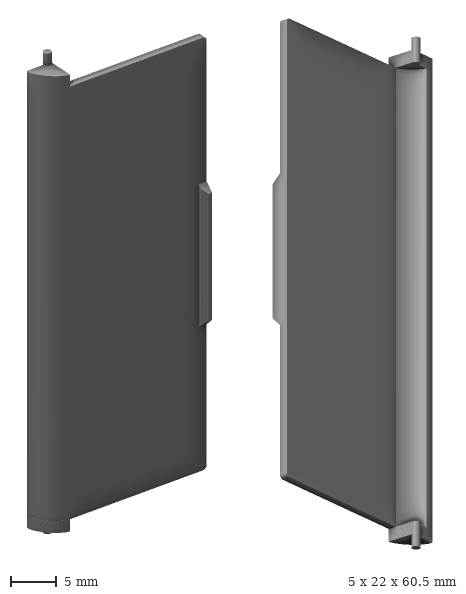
import cadquery as cq

total_height = 60.5
depth = 22.0

pin_diameter = 1.0
pin_length = 3.0
pin_overhang = 1.5
lug_height = pin_length - pin_overhang

plate_outer_x = 4.0
wall = 1.0
plate_inner_x = plate_outer_x - wall
plate_corner = 0.5

body_left_x = pin_diameter / 2
body_back_y = 3.3
pin_y = body_back_y - pin_diameter / 2
nose_flat = 0.5
nose_start_x = body_left_x + nose_flat
curve_end_y = 3.0
nose_radius = 5.0
hollow_end_y = 3.25
hollow_radius = nose_radius - wall

lean_height = 0.5
lean_shift = 0.025

catch_length = 18.0
catch_tip_x = 5.0
catch_width = 1.1
catch_bevel = 0.6

body_height = total_height - 2 * pin_overhang
shell_height = body_height - 2 * lug_height
shell_bottom_z = pin_overhang + lug_height
shell_top_z = shell_bottom_z + shell_height


def make_lug(bottom_z):
    """Solid quarter-round end lug that carries a pin."""
    return (
        cq.Workplane("XY", origin=(0, 0, bottom_z))
        .moveTo(body_left_x, body_back_y)
        .lineTo(body_left_x, 0)
        .lineTo(nose_start_x, 0)
        .radiusArc((plate_outer_x, curve_end_y), -nose_radius)
        .lineTo(plate_outer_x, body_back_y)
        .close()
        .extrude(lug_height)
    )


def draw_shell(plane, lean):
    """Section of the curved wall and plate, moved inward by lean."""
    outer_x = plate_outer_x - lean
    inner_x = plate_inner_x - lean
    return (
        plane.moveTo(body_left_x, lean)
        .lineTo(nose_start_x, lean)
        .radiusArc((outer_x, curve_end_y), -nose_radius)
        .lineTo(outer_x, depth)
        .lineTo(inner_x, depth)
        .lineTo(inner_x, hollow_end_y)
        .radiusArc((body_left_x, wall + lean), hollow_radius)
        .close()
    )


def make_shell():
    """Cover plate and hollow nose, leaning slightly inward along the lower edge."""
    lower_plane = cq.Workplane("XY", origin=(0, 0, shell_bottom_z))
    leaning_section = draw_shell(lower_plane, lean_shift)
    leaning_strip = draw_shell(leaning_section.workplane(offset=lean_height), 0).loft(ruled=True)

    upper_plane = cq.Workplane("XY", origin=(0, 0, shell_bottom_z + lean_height))
    straight_wall = draw_shell(upper_plane, 0).extrude(shell_height - lean_height)

    nose_strip = cq.Workplane("XY", origin=(body_left_x, 0, shell_bottom_z)).box(
        nose_flat, wall, shell_height, centered=False
    )
    corner_envelope = (
        cq.Workplane("XY", origin=(0, 0, shell_bottom_z))
        .box(plate_outer_x, depth, shell_height, centered=False)
        .edges("|X and >Y")
        .fillet(plate_corner)
    )
    shell = straight_wall.union(leaning_strip).union(nose_strip)
    return shell.intersect(corner_envelope)


def make_pin(bottom_z):
    """Hinge pin standing parallel to Z."""
    return (
        cq.Workplane("XY", origin=(body_left_x, pin_y, bottom_z))
        .circle(pin_diameter / 2)
        .extrude(pin_length)
    )


def make_catch():
    """Snap ridge on the outer face at the free edge, with 45 degree ramps at both ends."""
    front_y = depth - catch_width
    catch_bottom_z = (total_height - catch_length) / 2
    catch_top_z = catch_bottom_z + catch_length
    ramp = catch_tip_x - plate_outer_x

    ridge = (
        cq.Workplane("XY", origin=(0, 0, catch_bottom_z))
        .moveTo(plate_outer_x, depth)
        .lineTo(catch_tip_x, depth)
        .lineTo(catch_tip_x, front_y + catch_bevel)
        .lineTo(catch_tip_x - catch_bevel, front_y)
        .lineTo(plate_outer_x, front_y)
        .close()
        .extrude(catch_length)
    )
    ramp_envelope = (
        cq.Workplane("XZ", origin=(0, depth, 0))
        .moveTo(plate_outer_x, catch_bottom_z)
        .lineTo(catch_tip_x, catch_bottom_z + ramp)
        .lineTo(catch_tip_x, catch_top_z - ramp)
        .lineTo(plate_outer_x, catch_top_z)
        .close()
        .extrude(catch_width)
    )
    return ridge.intersect(ramp_envelope)


result = make_shell().union(make_catch())
for lug_bottom_z in (pin_overhang, shell_top_z):
    result = result.union(make_lug(lug_bottom_z))
for pin_bottom_z in (0, total_height - pin_length):
    result = result.union(make_pin(pin_bottom_z))